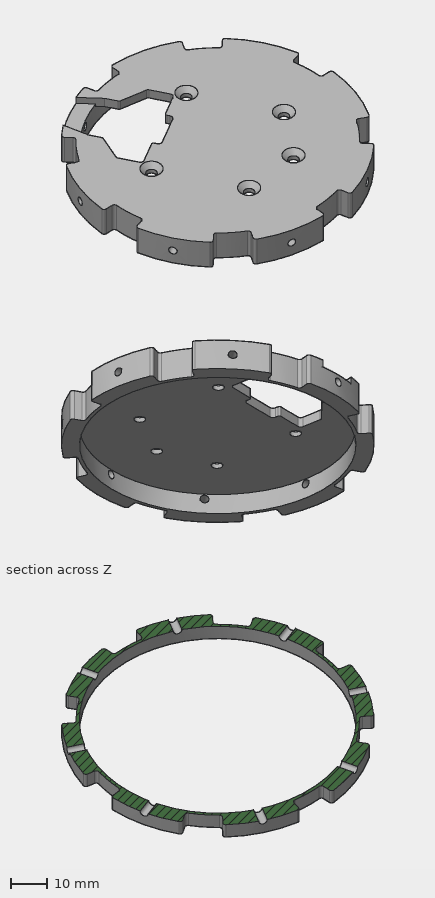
import cadquery as cq
import math

outer_radius = 43.0
valley_radius = 39.05
thickness = 9.0
plate_thickness = 3.0
rim_inner_radius = 38.0
tab_count = 8
tab_angle = 30.0
tab_fillet = 0.9

screw_diameter = 3.2
countersink_diameter = 6.4
countersink_angle = 90.0
corner_hole_x = 14.0
corner_hole_y = 16.7
axis_hole_x = 21.8

cross_hole_diameter = 2.4

notch_x = -14.45
notch_half_width = 6.1
window_right_x = -17.0
window_half_width = 15.0
shoulder_x = -24.6
throat_x = -30.6
throat_half_width = 8.0
flare_x = -34.9
flare_angle = 14.0
notch_fillet = 1.1
notch_lip_fillet = 0.6
window_corner_fillet = 0.95
bend_fillet = 0.9

channel_depth = 2.15
channel_overrun = 1.7
channel_end_x = -outer_radius - channel_overrun


def polar(radius, angle):
    """Point at the given radius and angle in degrees."""
    turn = math.radians(angle)
    return (radius * math.cos(turn), radius * math.sin(turn))


def make_disc():
    """Disc with evenly spaced tabs that have radial sides and rounded corners."""
    pitch = 360.0 / tab_count
    reach = 2 * outer_radius
    gap_half_angle = (pitch - tab_angle) / 2
    disc = cq.Workplane("XY").circle(outer_radius).extrude(thickness)
    ring = cq.Workplane("XY").circle(reach).circle(valley_radius).extrude(thickness)
    for index in range(tab_count):
        middle = index * pitch + pitch / 2
        start = polar(reach, middle - gap_half_angle)
        end = polar(reach, middle + gap_half_angle)
        wedge = cq.Workplane("XY").polyline([(0, 0), start, end]).close().extrude(thickness)
        disc = disc.cut(wedge.intersect(ring))
    return disc.edges("|Z").fillet(tab_fillet)


def window_outline():
    """Points of the window on the +Y side, from the notch to the rim, then their mirror image."""
    flare_drop = (flare_x - channel_end_x) * math.tan(math.radians(flare_angle))
    upper = [
        (notch_x, notch_half_width),
        (window_right_x, notch_half_width),
        (window_right_x, window_half_width),
        (shoulder_x, window_half_width),
        (throat_x, throat_half_width),
        (flare_x, throat_half_width),
        (channel_end_x, throat_half_width - flare_drop),
    ]
    lower = [(x, -y) for x, y in reversed(upper)]
    return upper + lower


def fillet_pair(body, x, half_width, radius):
    """Round the two upright edges at (x, +half_width) and (x, -half_width)."""
    for y in (half_width, -half_width):
        edge = cq.selectors.NearestToPointSelector((x, y, plate_thickness / 2))
        body = body.edges("|Z").edges(edge).fillet(radius)
    return body


def make_window():
    """Cutting body for the window and its channel: through the plate, then shallower over the rim."""
    body = cq.Workplane("XY").polyline(window_outline()).close().extrude(plate_thickness)
    body = fillet_pair(body, notch_x, notch_half_width, notch_fillet)
    body = fillet_pair(body, window_right_x, notch_half_width, notch_lip_fillet)
    body = fillet_pair(body, window_right_x, window_half_width, window_corner_fillet)
    body = fillet_pair(body, shoulder_x, window_half_width, bend_fillet)
    body = fillet_pair(body, throat_x, throat_half_width, bend_fillet)
    step = plate_thickness - channel_depth
    rim = cq.Workplane("XY").circle(2 * outer_radius).circle(rim_inner_radius).extrude(step)
    return body.cut(rim).translate((0, 0, thickness - plate_thickness))


def make_cavity():
    """Round hollow that opens at the bottom and leaves the top plate and the rim."""
    return cq.Workplane("XY").circle(rim_inner_radius).extrude(thickness - plate_thickness)


def drill_screw_holes(body):
    """Four holes on a rectangle and one on the X axis, countersunk from the top."""
    places = [(x, y) for x in (-corner_hole_x, corner_hole_x) for y in (-corner_hole_y, corner_hole_y)]
    places.append((axis_hole_x, 0))
    top = body.faces(">Z").workplane(origin=(0, 0, thickness))
    return top.pushPoints(places).cskHole(screw_diameter, countersink_diameter, countersink_angle)


def drill_cross_holes(body):
    """Holes along every diameter that joins two opposite tabs, at mid thickness."""
    drill = (
        cq.Workplane("YZ")
        .center(0, thickness / 2)
        .circle(cross_hole_diameter / 2)
        .extrude(2 * outer_radius, both=True)
    )
    for index in range(tab_count // 2):
        body = body.cut(drill.rotate((0, 0, 0), (0, 0, 1), index * 360.0 / tab_count))
    return body


disc = make_disc().cut(make_cavity()).cut(make_window())
result = drill_cross_holes(drill_screw_holes(disc))